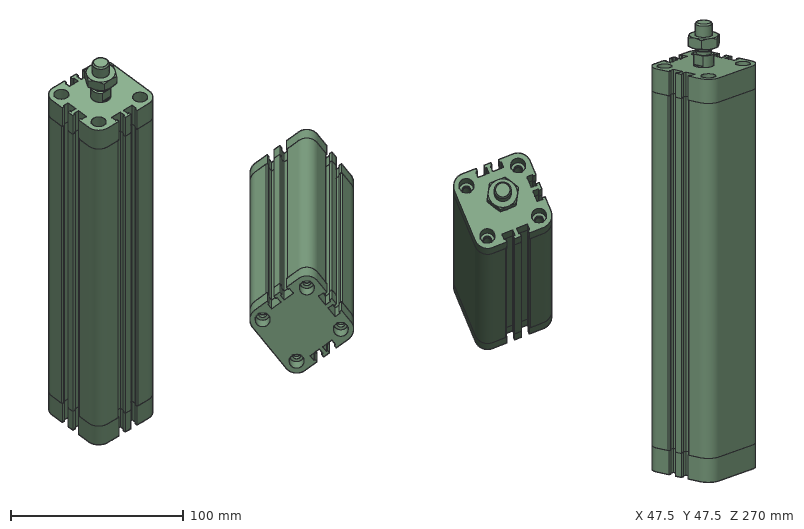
import cadquery as cq
import math

TOTAL_HEIGHT = 270.0
SIDE = 47.5
CORNER_RADIUS = 7.8
BODY_HEIGHT = 244.0
CAP_HEIGHT = 14.5

HOLE_SPACING = 32.5
HOLE_DIAMETER = 5.0
BARREL_HOLE_DIAMETER = 4.5
COUNTERBORE_DIAMETER = 8.6
COUNTERBORE_DEPTH = 10.8

SLOT_OFFSET = 4.5
SLOT_OPENING = 4.9
SLOT_WIDTH = 6.8
SLOT_DEPTH = 5.5
LIP_THICKNESS = 2.0
LIP_CHAMFER = 0.8
SLOT_SIDE_ANGLES = (-90, 0, 90)

ROD_DIAMETER = 12.0
FLATS_WIDTH = 10.0
FLATS_START = 0.8
SHOULDER_HEIGHT = 7.0
NECK_DIAMETER = 9.0
NECK_HEIGHT = 2.0
THREAD_DIAMETER = 10.0
TIP_CHAMFER_WIDTH = 0.8
TIP_CHAMFER_HEIGHT = 1.0
THREAD_START_TAPER = 0.8

NUT_WIDTH = 17.0
NUT_HEIGHT = 6.5
NUT_BOTTOM = 255.7
NUT_CHAMFER_ANGLE = 30


def tie_rod_holes(diameter, height):
    """Four corner cylinders that stand on the XY plane."""
    return (
        cq.Workplane("XY")
        .rect(HOLE_SPACING, HOLE_SPACING, forConstruction=True)
        .vertices()
        .circle(diameter / 2)
        .extrude(height)
    )


def slot_outline(centre_x, lip_chamfer):
    """One slot open towards -Y, with an optional chamfer on the far edge of its lip."""
    outward = math.copysign(1, centre_x)
    surface = -SIDE / 2
    lip = surface + LIP_THICKNESS
    floor = surface + SLOT_DEPTH
    points = [
        (centre_x - outward * SLOT_OPENING / 2, surface),
        (centre_x - outward * SLOT_OPENING / 2, lip),
        (centre_x - outward * SLOT_WIDTH / 2, lip),
        (centre_x - outward * SLOT_WIDTH / 2, floor),
        (centre_x + outward * SLOT_WIDTH / 2, floor),
        (centre_x + outward * SLOT_WIDTH / 2, lip),
        (centre_x + outward * SLOT_OPENING / 2, lip),
    ]
    if lip_chamfer:
        points.append((centre_x + outward * SLOT_OPENING / 2, surface + lip_chamfer))
    points.append((centre_x + outward * (SLOT_OPENING / 2 + lip_chamfer), surface))
    return cq.Workplane("XY").polyline(points).close()


def slotted_block(height, lip_chamfer=0):
    """Rounded square block with a pair of slots along the -X, -Y and +X sides."""
    block = cq.Workplane("XY").rect(SIDE, SIDE).extrude(height).edges("|Z").fillet(CORNER_RADIUS)
    for angle in SLOT_SIDE_ANGLES:
        for centre_x in (-SLOT_OFFSET, SLOT_OFFSET):
            slot = slot_outline(centre_x, lip_chamfer).extrude(height)
            block = block.cut(slot.rotate((0, 0, 0), (0, 0, 1), angle))
    return block


def make_barrel():
    height = BODY_HEIGHT - 2 * CAP_HEIGHT
    barrel = slotted_block(height, LIP_CHAMFER).cut(tie_rod_holes(BARREL_HOLE_DIAMETER, height))
    return barrel.translate((0, 0, CAP_HEIGHT))


def make_cap():
    """End cap with its outer face, where the counterbores open, on top."""
    counterbore_floor = CAP_HEIGHT - COUNTERBORE_DEPTH
    counterbores = tie_rod_holes(COUNTERBORE_DIAMETER, COUNTERBORE_DEPTH).translate((0, 0, counterbore_floor))
    return slotted_block(CAP_HEIGHT).cut(tie_rod_holes(HOLE_DIAMETER, CAP_HEIGHT)).cut(counterbores)


def make_top_cap():
    rod_hole = cq.Workplane("XY").circle(ROD_DIAMETER / 2).extrude(CAP_HEIGHT)
    return make_cap().cut(rod_hole).translate((0, 0, BODY_HEIGHT - CAP_HEIGHT))


def make_bottom_cap():
    return make_cap().mirror("XY").translate((0, 0, CAP_HEIGHT))


def make_rod():
    """Rod through the top cap, with wrench flats, a neck and a plain cylinder in place of its thread."""
    shoulder_top = BODY_HEIGHT + SHOULDER_HEIGHT
    neck_top = shoulder_top + NECK_HEIGHT
    rod_bottom = BODY_HEIGHT - CAP_HEIGHT
    flats_bottom = BODY_HEIGHT + FLATS_START

    shank = (
        cq.Workplane("XY", origin=(0, 0, rod_bottom))
        .circle(ROD_DIAMETER / 2)
        .extrude(flats_bottom - rod_bottom)
    )
    flatted = (
        cq.Workplane("XY", origin=(0, 0, flats_bottom))
        .circle(ROD_DIAMETER / 2)
        .extrude(shoulder_top - flats_bottom)
        .intersect(cq.Workplane("XY").box(FLATS_WIDTH, ROD_DIAMETER, 2 * TOTAL_HEIGHT))
    )
    neck = cq.Workplane("XY", origin=(0, 0, shoulder_top)).circle(NECK_DIAMETER / 2).extrude(NECK_HEIGHT)
    taper = (
        cq.Workplane("XY", origin=(0, 0, neck_top))
        .circle(NECK_DIAMETER / 2)
        .workplane(offset=THREAD_START_TAPER)
        .circle(THREAD_DIAMETER / 2)
        .loft()
    )
    thread_bottom = neck_top + THREAD_START_TAPER
    thread = (
        cq.Workplane("XY", origin=(0, 0, thread_bottom))
        .circle(THREAD_DIAMETER / 2)
        .extrude(TOTAL_HEIGHT - thread_bottom)
        .faces(">Z")
        .chamfer(TIP_CHAMFER_HEIGHT, TIP_CHAMFER_WIDTH)
    )
    return shank.union(flatted).union(neck).union(taper).union(thread)


def make_nut():
    """Hexagon with its corners on the Y axis, chamfered at both ends."""
    across_corners = NUT_WIDTH / math.cos(math.pi / 6)
    corner_drop = (across_corners - NUT_WIDTH) / 2 * math.tan(math.radians(NUT_CHAMFER_ANGLE))
    hexagon = (
        cq.Workplane("XY").polygon(6, across_corners).extrude(NUT_HEIGHT).rotate((0, 0, 0), (0, 0, 1), 90)
    )
    chamfer_envelope = (
        cq.Workplane("XZ")
        .polyline([
            (0, 0),
            (NUT_WIDTH / 2, 0),
            (across_corners / 2, corner_drop),
            (across_corners / 2, NUT_HEIGHT - corner_drop),
            (NUT_WIDTH / 2, NUT_HEIGHT),
            (0, NUT_HEIGHT),
        ])
        .close()
        .revolve(360, (0, 0, 0), (0, 1, 0))
    )
    bore = cq.Workplane("XY").circle(THREAD_DIAMETER / 2).extrude(NUT_HEIGHT)
    return hexagon.intersect(chamfer_envelope).cut(bore).translate((0, 0, NUT_BOTTOM))


barrel = make_barrel()
top_cap = make_top_cap()
bottom_cap = make_bottom_cap()
rod = make_rod()
nut = make_nut()

result = cq.Compound.makeCompound([barrel.val(), top_cap.val(), bottom_cap.val(), rod.val(), nut.val()])